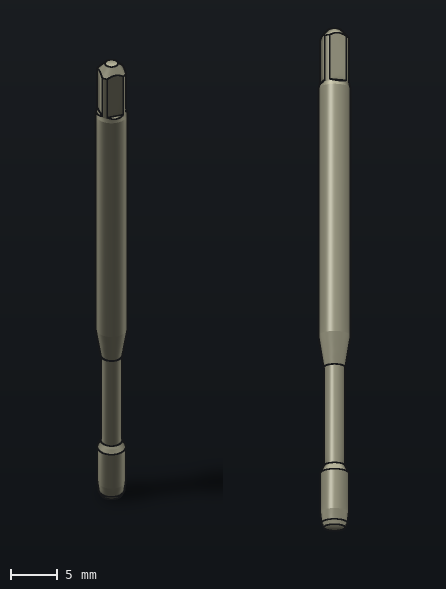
import cadquery as cq

head_diameter = 3.1
tip_diameter = 2.3
lead_bottom_diameter = 2.8
tip_chamfer_height = 0.5
lead_top_z = 1.7
head_shoulder_z = 6.1
collar_z = 6.6
collar_diameter = 2.65
head_top_z = 6.95

neck_diameter = 2.3
taper_bottom_diameter = 2.35
shank_diameter = 3.5
taper_bottom_z = 18.05
taper_top_z = 21.6
shank_shoulder_z = 49.5

drive_diameter = 3.25
drive_flats = 2.7
drive_base_z = 49.95
flat_bottom_z = 50.1
runout_diameter = 3.2
overall_length = 56.1
end_diameter = 1.4
end_chamfer_height = 1.0


def turned(profile):
    """Revolve a list of (diameter, z) steps, from bottom to top, about the Z axis."""
    outline = [(0, profile[0][1])]
    outline += [(diameter / 2, z) for diameter, z in profile]
    outline += [(0, profile[-1][1])]
    return cq.Workplane("XZ").polyline(outline).close().revolve(360, (0, 0), (0, 1))


def make_head():
    """Cylindrical head with a tapered lead and a stepped conical shoulder."""
    return turned([
        (tip_diameter, 0),
        (lead_bottom_diameter, tip_chamfer_height),
        (head_diameter, lead_top_z),
        (head_diameter, head_shoulder_z),
        (collar_diameter, collar_z),
        (neck_diameter, head_top_z),
    ])


def make_flat_cutter():
    """Material outside one drive flat, with a sloped runout at its lower end."""
    flat_x = drive_flats / 2
    outside_x = shank_diameter
    runout_x = runout_diameter / 2
    slope = (flat_bottom_z - drive_base_z) / (runout_x - flat_x)
    outside_z = flat_bottom_z - slope * (outside_x - flat_x)
    return (
        cq.Workplane("XZ")
        .polyline([
            (flat_x, flat_bottom_z),
            (outside_x, outside_z),
            (outside_x, overall_length),
            (flat_x, overall_length),
        ])
        .close()
        .extrude(shank_diameter / 2, both=True)
    )


def make_shank():
    """Neck, taper and shank, ending in a square drive with a conical end."""
    shank = turned([
        (neck_diameter, head_top_z),
        (neck_diameter, taper_bottom_z),
        (taper_bottom_diameter, taper_bottom_z),
        (shank_diameter, taper_top_z),
        (shank_diameter, shank_shoulder_z),
        (drive_diameter, drive_base_z),
        (drive_diameter, overall_length - end_chamfer_height),
        (end_diameter, overall_length),
    ])
    cutter = make_flat_cutter()
    for angle in (0, 90, 180, 270):
        shank = shank.cut(cutter.rotate((0, 0, 0), (0, 0, 1), angle))
    return shank


head = make_head()
shank = make_shank()

result = cq.Compound.makeCompound([head.val(), *shank.vals()])